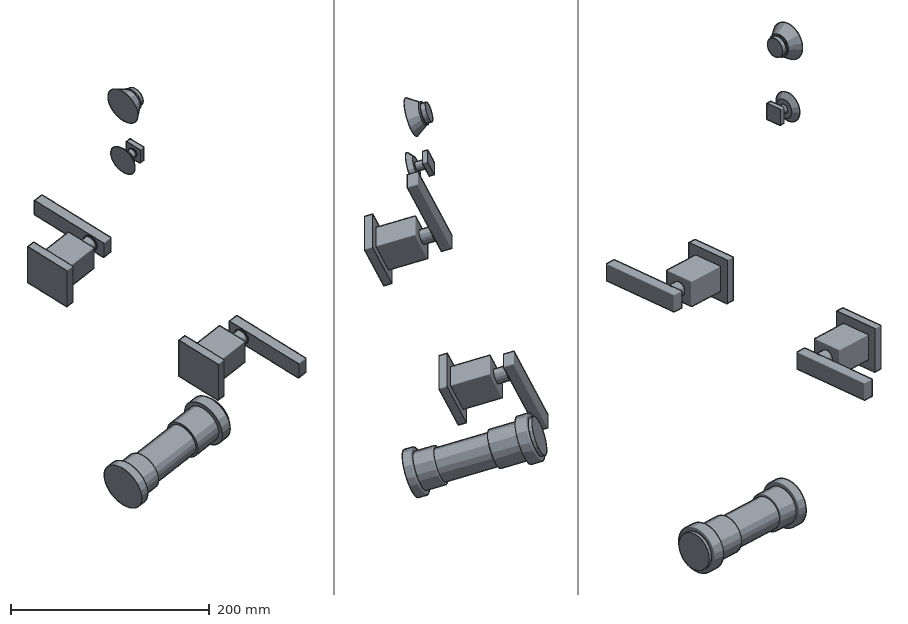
import cadquery as cq

SPOUT_Z = 0.0
VALVE_Z = 228.6
DIVERTER_Z = 457.2
SHOWER_Z = 533.4
VALVE_SPACING = 203.2

EDGE_ROUND = 1.0

FLANGE_DIA = 50.8
BODY_DIA = 41.3
BARREL_DIA = 36.0
FLANGE_END = 9.9
INLET_END = 31.6
BARREL_END = 90.4
SLEEVE_END = 122.0
COLLAR_END = 134.6
SPOUT_LENGTH = 138.3

PLATE_WIDTH = 53.34
PLATE_HEIGHT = 50.8
PLATE_THICKNESS = 8.9
HUB_WIDTH = 35.0
HUB_HEIGHT = 29.5
HUB_END = 51.6
STEM_DIA = 15.7
STEM_COLLAR_DIA = 17.3
STEM_COLLAR_LENGTH = 1.3
LEVER_START = 66.0
LEVER_THICKNESS = 11.6
LEVER_HEIGHT = 20.3
LEVER_TIP_X = 177.8

DIVERTER_DIA = 33.02
DIVERTER_CONE_END_DIA = 21.0
DIVERTER_CONE_LENGTH = 5.5
DIVERTER_STEM_DIA = 9.8
DIVERTER_COLLAR_DIA = 10.8
DIVERTER_COLLAR_LENGTH = 1.3
GRIP_SIZE = 19.05
GRIP_START = 15.6
GRIP_END = 21.2

SHOWER_DIA = 40.64
SHOWER_CONE_END_DIA = 24.6
SHOWER_CONE_LENGTH = 12.3
SHOWER_LAND_END = 14.0
SHOWER_NECK_DIA = 21.0
SHOWER_NECK_END = 19.05


def cylinder_y(diameter, start, end, x=0.0, z=0.0):
    """Cylinder along +Y between two distances from the wall."""
    face = cq.Workplane("XZ", origin=(x, start, z))
    return face.circle(diameter / 2).extrude(start - end)


def block(x_range, y_range, z_centre, height):
    """Box spanning the given X and Y ranges, centred on a Z height."""
    length = x_range[1] - x_range[0]
    depth = y_range[1] - y_range[0]
    centre = (sum(x_range) / 2, sum(y_range) / 2, z_centre)
    return cq.Workplane("XY", origin=centre).box(length, depth, height)


def cone_y(base_diameter, end_diameter, length, z):
    """Truncated cone along +Y standing on the wall."""
    solid = cq.Solid.makeCone(
        base_diameter / 2, end_diameter / 2, length, cq.Vector(0, 0, z), cq.Vector(0, 1, 0)
    )
    return cq.Workplane(obj=solid)


def rounded_step(diameter, start, end):
    """Step of the spout with its rim away from the wall rounded."""
    step = cylinder_y(diameter, start, end, z=SPOUT_Z)
    return step.faces(">Y").edges().fillet(EDGE_ROUND)


def make_spout():
    flange = rounded_step(FLANGE_DIA, 0, FLANGE_END)
    inlet = rounded_step(BODY_DIA, FLANGE_END, INLET_END)
    barrel = cylinder_y(BARREL_DIA, INLET_END, BARREL_END, z=SPOUT_Z)
    sleeve = cylinder_y(BODY_DIA, BARREL_END, SLEEVE_END, z=SPOUT_Z)
    collar = rounded_step(FLANGE_DIA, SLEEVE_END, COLLAR_END)
    end_cap = cylinder_y(BODY_DIA, COLLAR_END, SPOUT_LENGTH, z=SPOUT_Z)
    return flange.union(inlet).union(barrel).union(sleeve).union(collar).union(end_cap)


def make_valve(side):
    """Valve on the +X side (side = 1) or the -X side (side = -1), its lever pointing outward."""
    x = side * VALVE_SPACING / 2
    plate_x = (x - PLATE_WIDTH / 2, x + PLATE_WIDTH / 2)
    plate = block(plate_x, (0, PLATE_THICKNESS), VALVE_Z, PLATE_HEIGHT)
    plate = plate.edges("|Y").fillet(EDGE_ROUND)

    hub_x = (x - HUB_WIDTH / 2, x + HUB_WIDTH / 2)
    hub = block(hub_x, (PLATE_THICKNESS, HUB_END), VALVE_Z, HUB_HEIGHT)
    hub = hub.edges("|Y or >Y").fillet(EDGE_ROUND)

    stem = cylinder_y(STEM_DIA, HUB_END, LEVER_START, x, VALVE_Z)
    collar = cylinder_y(STEM_COLLAR_DIA, LEVER_START - STEM_COLLAR_LENGTH, LEVER_START, x, VALVE_Z)

    lever_x = sorted((x - side * HUB_WIDTH / 2, side * LEVER_TIP_X))
    lever_y = (LEVER_START, LEVER_START + LEVER_THICKNESS)
    lever = block(lever_x, lever_y, VALVE_Z, LEVER_HEIGHT)
    lever = lever.edges("|Y or >Y").fillet(EDGE_ROUND)
    return plate.union(hub).union(stem).union(collar).union(lever)


def make_diverter_knob():
    cone = cone_y(DIVERTER_DIA, DIVERTER_CONE_END_DIA, DIVERTER_CONE_LENGTH, DIVERTER_Z)
    stem = cylinder_y(DIVERTER_STEM_DIA, DIVERTER_CONE_LENGTH, GRIP_START, z=DIVERTER_Z)
    half_grip = GRIP_SIZE / 2
    grip = block((-half_grip, half_grip), (GRIP_START, GRIP_END), DIVERTER_Z, GRIP_SIZE)
    grip = grip.edges("|Y").fillet(EDGE_ROUND)
    collar = cylinder_y(DIVERTER_COLLAR_DIA, GRIP_START - DIVERTER_COLLAR_LENGTH, GRIP_START, z=DIVERTER_Z)
    return cone.union(stem).union(collar).union(grip)


def make_shower_knob():
    cone = cone_y(SHOWER_DIA, SHOWER_CONE_END_DIA, SHOWER_CONE_LENGTH, SHOWER_Z)
    land = cylinder_y(SHOWER_CONE_END_DIA, SHOWER_CONE_LENGTH, SHOWER_LAND_END, z=SHOWER_Z)
    neck = cylinder_y(SHOWER_NECK_DIA, SHOWER_LAND_END, SHOWER_NECK_END, z=SHOWER_Z)
    return cone.union(land).union(neck)


spout = make_spout()
valves = [make_valve(side) for side in (-1, 1)]
diverter_knob = make_diverter_knob()
shower_knob = make_shower_knob()

result = cq.Compound.makeCompound(
    [spout.val(), *[valve.val() for valve in valves], diverter_knob.val(), shower_knob.val()]
)